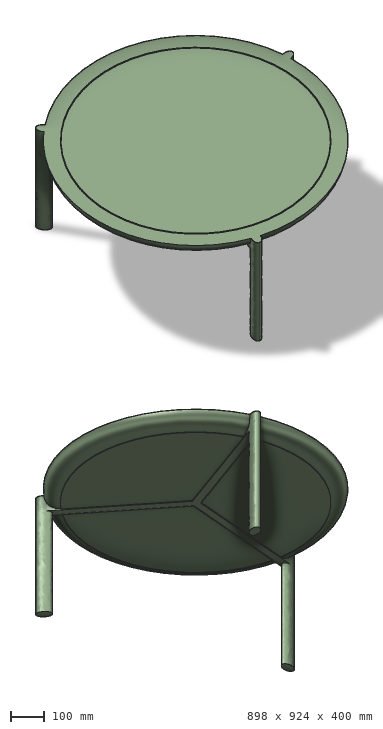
import cadquery as cq
import math

table_height = 400.0
rim_radius = 449.0

panel_diameter = 798.0
panel_radius = panel_diameter / 2
rim_thickness = 48.0
panel_thickness = 50.0
joint_width = 2.0
joint_depth = 2.0

leg_count = 3
first_leg_angle = 90
leg_length = 50.0
leg_width = 30.5
leg_outer_reach = 475.0
leg_center_radius = leg_outer_reach - leg_length / 2
beam_width = 28.0
beam_depth = 53.0


def make_rim():
    """Solid disc whose outer edge is a quarter ellipse from top to underside."""
    edge_width = rim_radius - panel_radius
    diagonal = math.sqrt(0.5)
    edge_middle = (
        panel_radius + edge_width * diagonal,
        table_height - rim_thickness * diagonal,
    )
    underside = table_height - rim_thickness
    return (
        cq.Workplane("XZ")
        .moveTo(0, table_height)
        .lineTo(rim_radius, table_height)
        .threePointArc(edge_middle, (panel_radius, underside))
        .lineTo(0, underside)
        .close()
        .revolve(360, (0, 0, 0), (0, 1, 0))
    )


def make_panel():
    """Inset panel, reaching slightly below the rim."""
    return (
        cq.Workplane("XY", origin=(0, 0, table_height - panel_thickness))
        .circle(panel_radius)
        .extrude(panel_thickness)
    )


def make_joint():
    """Fine groove around the panel in the tabletop."""
    return (
        cq.Workplane("XY", origin=(0, 0, table_height - joint_depth))
        .circle(panel_radius)
        .circle(panel_radius - joint_width)
        .extrude(joint_depth)
    )


def make_leg_with_beam(angle):
    """Vertical oval leg and the beam running from it to the table centre."""
    leg = (
        cq.Workplane("XY")
        .center(leg_center_radius, 0)
        .ellipse(leg_length / 2, leg_width / 2)
        .extrude(table_height)
    )
    beam_height = beam_depth - joint_depth
    beam = (
        cq.Workplane("XY", origin=(0, 0, table_height - beam_depth))
        .box(leg_center_radius, beam_width, beam_height, centered=(False, True, False))
    )
    return leg.union(beam).rotate((0, 0, 0), (0, 0, 1), angle)


result = make_rim().union(make_panel())
for index in range(leg_count):
    result = result.union(make_leg_with_beam(first_leg_angle + index * 360 / leg_count))
result = result.cut(make_joint())